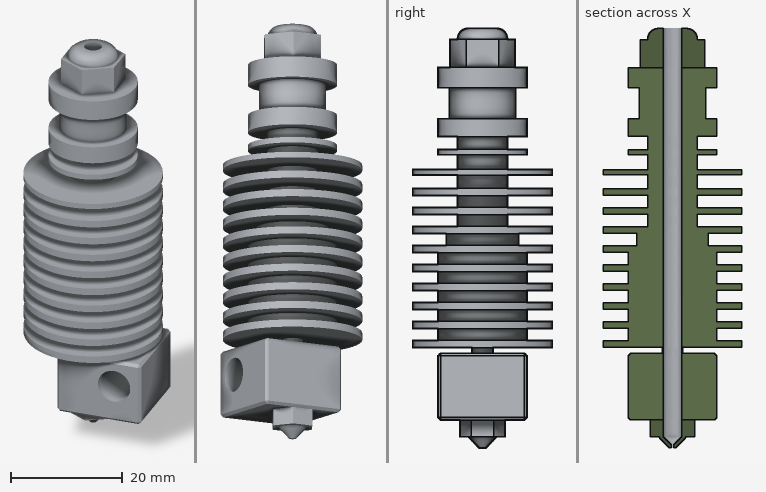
import cadquery as cq
import math

FILAMENT_BORE = 3.2
HEX_SIDES = 6
HALF_HEX_ANGLE = 180 / HEX_SIDES

FIN_DIAMETER = 25.0
FIN_PITCH = 3.4
FIN_COUNT = 10
FIN_THICKNESS = 1.3
THIN_FIN_THICKNESS = 1.0
SLIM_CORE_DIAMETER = 9.0
STEP_CORE_DIAMETER = 13.0
THICK_CORE_DIAMETER = 16.0
THICK_CORE_FINS = 6
COLLAR_DIAMETER = 16.0
GROOVE_DIAMETER = 12.0
FIN_STACK_HEIGHT = (FIN_COUNT - 1) * FIN_PITCH + FIN_THICKNESS
RING_GAP = 2.6
LOWER_COLLAR_GAP = 2.3
LOWER_COLLAR_HEIGHT = 3.2
GROOVE_HEIGHT = 5.5
UPPER_COLLAR_HEIGHT = 3.7
RING_BASE = FIN_STACK_HEIGHT + RING_GAP
LOWER_COLLAR_BASE = RING_BASE + THIN_FIN_THICKNESS + LOWER_COLLAR_GAP
GROOVE_BASE = LOWER_COLLAR_BASE + LOWER_COLLAR_HEIGHT
UPPER_COLLAR_BASE = GROOVE_BASE + GROOVE_HEIGHT
SINK_HEIGHT = UPPER_COLLAR_BASE + UPPER_COLLAR_HEIGHT

COUPLING_FLATS = 10.1
COUPLING_HEX_HEIGHT = 5.0
DOME_DIAMETER = 9.0
DOME_HEIGHT = 2.0

HEAT_BREAK_DIAMETER = 3.8
HEAT_BREAK_LENGTH = 1.0

BLOCK_SIDE = 16.0
BLOCK_HEIGHT = 12.0
BLOCK_OVERHANG = 4.0
BLOCK_CHAMFER = 0.5
HEATER_HOLE_DIAMETER = 6.15
HEATER_HOLE_X = 7.0
HEATER_HOLE_DROP = 5.0
BLOCK_TOP = -HEAT_BREAK_LENGTH
BLOCK_BOTTOM = BLOCK_TOP - BLOCK_HEIGHT

NOZZLE_FLATS = 7.0
NOZZLE_HEX_HEIGHT = 3.0
NOZZLE_CONE_DIAMETER = 5.04
NOZZLE_CONE_HEIGHT = 2.0
NOZZLE_TIP_DIAMETER = 1.2
ORIFICE_DIAMETER = 0.4
ORIFICE_LENGTH = 0.6
DRILL_POINT_ANGLE = 90.0
NOZZLE_HEIGHT = NOZZLE_HEX_HEIGHT + NOZZLE_CONE_HEIGHT
NOZZLE_TIP = BLOCK_BOTTOM - NOZZLE_HEIGHT


def cylinder(diameter, base, height):
    return cq.Workplane("XY").workplane(offset=base).circle(diameter / 2).extrude(height)


def cone(base_diameter, top_diameter, base, height):
    solid = cq.Solid.makeCone(base_diameter / 2, top_diameter / 2, height, pnt=cq.Vector(0, 0, base))
    return cq.Workplane("XY").add(solid)


def hexagon(across_flats, base, height):
    """Hexagonal prism with corners on the Y axis."""
    corner_diameter = across_flats / math.cos(math.radians(HALF_HEX_ANGLE))
    prism = cq.Workplane("XY").polygon(HEX_SIDES, corner_diameter).extrude(height)
    return prism.rotate((0, 0, 0), (0, 0, 1), HALF_HEX_ANGLE).translate((0, 0, base))


def make_heat_sink():
    step_base = (THICK_CORE_FINS - 1) * FIN_PITCH
    slim_base = step_base + FIN_PITCH
    sink = cylinder(THICK_CORE_DIAMETER, 0, step_base)
    sink = sink.union(cylinder(STEP_CORE_DIAMETER, step_base, FIN_PITCH))
    sink = sink.union(cylinder(SLIM_CORE_DIAMETER, slim_base, LOWER_COLLAR_BASE - slim_base))
    for index in range(FIN_COUNT - 1):
        sink = sink.union(cylinder(FIN_DIAMETER, index * FIN_PITCH, FIN_THICKNESS))
    top_fin_base = FIN_STACK_HEIGHT - THIN_FIN_THICKNESS
    sink = sink.union(cylinder(FIN_DIAMETER, top_fin_base, THIN_FIN_THICKNESS))
    sink = sink.union(cylinder(COLLAR_DIAMETER, RING_BASE, THIN_FIN_THICKNESS))
    sink = sink.union(cylinder(COLLAR_DIAMETER, LOWER_COLLAR_BASE, LOWER_COLLAR_HEIGHT))
    sink = sink.union(cylinder(GROOVE_DIAMETER, GROOVE_BASE, GROOVE_HEIGHT))
    sink = sink.union(cylinder(COLLAR_DIAMETER, UPPER_COLLAR_BASE, UPPER_COLLAR_HEIGHT))
    return sink.cut(cylinder(FILAMENT_BORE, 0, SINK_HEIGHT))


def make_coupling():
    height = COUPLING_HEX_HEIGHT + DOME_HEIGHT
    dome = cylinder(DOME_DIAMETER, SINK_HEIGHT, height).faces(">Z").edges().fillet(DOME_HEIGHT)
    coupling = hexagon(COUPLING_FLATS, SINK_HEIGHT, COUPLING_HEX_HEIGHT).union(dome)
    return coupling.cut(cylinder(FILAMENT_BORE, SINK_HEIGHT, height))


def make_heat_break():
    tube = cylinder(HEAT_BREAK_DIAMETER, BLOCK_TOP, HEAT_BREAK_LENGTH)
    return tube.cut(cylinder(FILAMENT_BORE, BLOCK_TOP, HEAT_BREAK_LENGTH))


def make_heater_block():
    center_x = BLOCK_SIDE / 2 - BLOCK_OVERHANG
    block = cq.Workplane("XY").box(BLOCK_SIDE, BLOCK_SIDE, BLOCK_HEIGHT).edges().chamfer(BLOCK_CHAMFER)
    block = block.translate((center_x, 0, BLOCK_BOTTOM + BLOCK_HEIGHT / 2))
    heater_hole = (
        cq.Workplane("XZ")
        .center(HEATER_HOLE_X, BLOCK_TOP - HEATER_HOLE_DROP)
        .circle(HEATER_HOLE_DIAMETER / 2)
        .extrude(BLOCK_SIDE / 2, both=True)
    )
    return block.cut(heater_hole).cut(cylinder(FILAMENT_BORE, BLOCK_BOTTOM, BLOCK_HEIGHT))


def make_nozzle():
    hex_base = NOZZLE_TIP + NOZZLE_CONE_HEIGHT
    nozzle = hexagon(NOZZLE_FLATS, hex_base, NOZZLE_HEX_HEIGHT)
    nozzle = nozzle.union(cone(NOZZLE_TIP_DIAMETER, NOZZLE_CONE_DIAMETER, NOZZLE_TIP, NOZZLE_CONE_HEIGHT))
    nozzle = nozzle.cut(cylinder(ORIFICE_DIAMETER, NOZZLE_TIP, ORIFICE_LENGTH))
    point_base = NOZZLE_TIP + ORIFICE_LENGTH
    point_width = (FILAMENT_BORE - ORIFICE_DIAMETER) / 2
    point_height = point_width / math.tan(math.radians(DRILL_POINT_ANGLE / 2))
    nozzle = nozzle.cut(cone(ORIFICE_DIAMETER, FILAMENT_BORE, point_base, point_height))
    bore_base = point_base + point_height
    return nozzle.cut(cylinder(FILAMENT_BORE, bore_base, BLOCK_BOTTOM - bore_base))


heat_sink = make_heat_sink()
coupling = make_coupling()
heat_break = make_heat_break()
heater_block = make_heater_block()
nozzle = make_nozzle()

result = cq.Compound.makeCompound(
    [heat_sink.val(), coupling.val(), heat_break.val(), heater_block.val(), nozzle.val()]
)